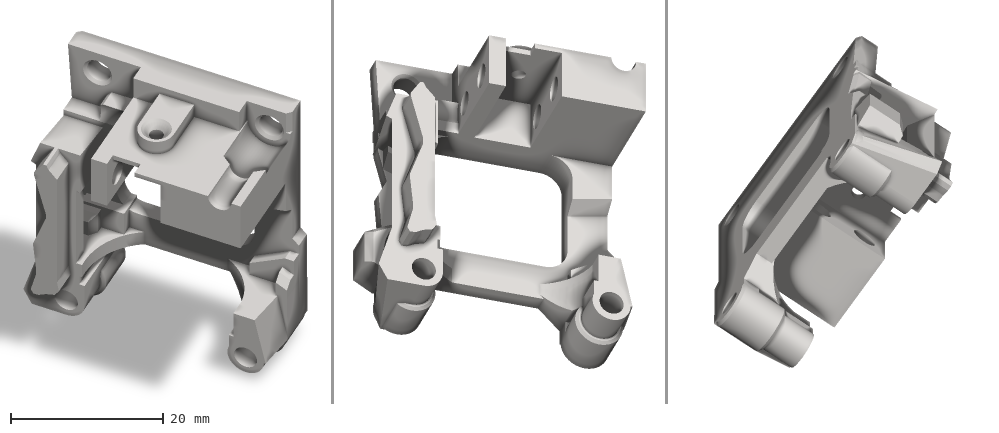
import cadquery as cq


right_side = 34.73
right_flank = 35.8
upper_flank = 35.65
lower_left = 3.55
top_z = 40.55
post_depth = 2.45
head_depth = 3.1
ledge_left, ledge_z = 3.0, 31.2
window_left, window_right = 9.2, 29.2
window_bottom, window_top = 13.43, 29.6
window_radius = 3.1
crossbar_bottom = 8.3
brace_depth = 4.5
brace_bevel = 1.45
edge_bevel = 0.65
bevel_depth = 0.53

hole_z = 37.1
left_hole_x, right_hole_x = 6.75, 31.7
screw_radius = 1.7
countersink_radius = 2.1

lug_back, lug_front = 0.3, 6.15
lug_shoulder = 5.07
corner_depth = 4.0

block_left = 13.02
block_front = 18.5
block_top = 37.12
rib_depth = 5.45
rib_right = 28.4
pocket_left, pocket_right = 15.35, 23.1
pocket_top = 36.4
notch_right = 19.35
notch_length = 1.83
trough_radius = 3.12
trough_end = 10.63
trough_cone_length = 1.1
side_hole_depths = (8.25, 15.25)
side_hole_z = 32.75
side_hole_radius = 1.65
side_hole_end = 28.8

boss_x = 19.35
boss_depth = 11.75
boss_radius = 2.5
boss_top = 39.3
boss_hole_radius = 0.97
boss_sink_radius = 2.03
boss_sink_height = 1.05

stop_left = 8.25
stop_depth = 5.7
stop_top = 34.4
stop_bevel = 0.53
driver_clearance_radius = 3.0

foot_front = 11.7
pivot_z = 3.33
left_pivot_x, right_pivot_x = 6.25, 32.25
pivot_radius = 3.33
pivot_depth = 6.9
pivot_chamfer = 0.4
pivot_hole_radius = 1.65
toe_radius = 2.65
toe_bottom = pivot_z - toe_radius
right_toe_left = 29.8
right_shin_left = 30.45
gusset_top = 10.5
step_z = 6.35
left_elbow_z = 6.9
right_elbow_z = 5.35
gusset_bulge_depth = 5.72
pillar_back = 9.45
pillar_top = 30.05
grip_front = 15.3


def slab(points, back, front):
    """Extrude an XZ outline from depth `back` to depth `front`."""
    return cq.Workplane("XZ", origin=(0, -back, 0)).polyline(points).close().extrude(front - back)


def box(x_range, depth_range, z_range):
    """Block between pairs of X limits, depths toward -Y and Z limits."""
    (x0, x1), (d0, d1), (z0, z1) = x_range, depth_range, z_range
    return cq.Workplane("XY").box(x1 - x0, d1 - d0, z1 - z0, centered=False).translate((x0, -d1, z0))


def rod(x, z, radius, back, front):
    """Cylinder along Y."""
    return cq.Workplane("XZ", origin=(x, -back, z)).circle(radius).extrude(front - back)


def cone(x, z, depths, radii):
    """Cone along Y between two depths."""
    length = depths[1] - depths[0]
    return cq.Workplane(
        cq.Solid.makeCone(*radii, length, cq.Vector(x, -depths[0], z), cq.Vector(0, -1, 0))
    )


def blend(back_outline, front_outline, back, front):
    """Join two XZ outlines with the same number of points by ruled faces."""
    return (
        cq.Workplane("XZ", origin=(0, -back, 0)).polyline(back_outline).close()
        .workplane(offset=front - back).polyline(front_outline).close()
        .loft(ruled=True)
    )


def prism(points, bottom, top):
    """Extrude an XY outline between two heights."""
    return cq.Workplane("XY", origin=(0, 0, bottom)).polyline(points).close().extrude(top - bottom)


def frame_outline(left_bevel):
    """Frame outline with its left side pulled in by the given bevel."""
    return [
        (2.45 + left_bevel, top_z), (right_side, top_z), (right_side, 17.85), (upper_flank, 16.9),
        (right_flank, pivot_z), (28.93, pivot_z), (28.93, right_elbow_z), (25.95, crossbar_bottom),
        (9.75, crossbar_bottom), (8.75, left_elbow_z), (8.75, pivot_z), (lower_left + left_bevel, pivot_z),
        (lower_left + left_bevel, window_bottom), (3.05 + left_bevel, 20.1), (4.18 + left_bevel, 22.3),
        (ledge_left + left_bevel, 26.78), (ledge_left + left_bevel, ledge_z),
    ]


def make_frame():
    """Posts, crossbar and the thicker head with its front rib."""
    back = blend(frame_outline(edge_bevel), frame_outline(0), 0, bevel_depth)
    posts = slab(frame_outline(0), bevel_depth, post_depth)
    head = slab([(2.45, top_z), (right_side, top_z), (right_side, window_top), (ledge_left, window_top),
                 (ledge_left, ledge_z)], bevel_depth, head_depth)
    rib = box((block_left, rib_right), (0, rib_depth), (window_top, top_z))
    head_bevel = prism([(right_side, -head_depth + edge_bevel), (right_side, -head_depth),
                        (right_side - edge_bevel, -head_depth)], block_top, top_z)
    return back.union(posts).union(head).union(rib).cut(head_bevel)


def make_brace(inner, outer):
    """Thickened top of a post between two XZ corners, bevelled back to the post underneath."""
    (inner_x, inner_z), (outer_x, outer_z) = inner, outer
    front_outline = [(inner_x, window_top), (outer_x, window_top), outer, inner]
    back_outline = [(inner_x, window_top), (outer_x, window_top),
                    (outer_x, outer_z - brace_bevel), (inner_x, inner_z - brace_bevel)]
    return blend(back_outline, front_outline, post_depth, brace_depth)


def make_arm():
    """Tapering arm that carries the top of the pillar."""
    back_outline = [(3.65, 30.43), (3.05, 27.7), (window_left, 24.75), (window_left, 30.43)]
    front_outline = [(2.45, pillar_top), (1.05, 26.25), (stop_left, 23.33), (stop_left, pillar_top)]
    return blend(back_outline, front_outline, 0, foot_front)


def make_pillar():
    """Upright with a sloping back and a wavy grip pad on its front."""
    outline = [(2.45, pillar_top), (1.05, 26.25), (1.83, 25.2), (1.83, step_z),
               (7.65, step_z), (7.65, 23.77), (stop_left, 23.77), (stop_left, pillar_top)]
    pillar = slab(outline, pillar_back, foot_front)
    grip_outline = [
        (4.55, pillar_top), (3.25, 28.1), (3.25, 27.6), (4.95, 21.3), (4.95, 20.5), (3.12, 15.38), (3.12, 14.8),
        (3.53, 10.95), (3.53, 9.95), (2.75, 6.98), (3.12, 6.33), (3.9, 6.35), (4.95, 6.95), (6.25, 7.3),
        (6.85, 8.2), (6.57, 9.65), (6.57, 28.07), (5.35, 29.37), (5.05, pillar_top),
    ]
    back_slope = prism([(1.83, -foot_front), (4.85, -pillar_back), (0, -pillar_back), (0, -foot_front)],
                       0, top_z)
    return pillar.cut(back_slope).union(slab(grip_outline, foot_front, grip_front))


def make_gusset(bottom, crossbar_x, bulge_x, toe_x, foot_x):
    """Web with a hollow curved side that joins the crossbar to a foot."""
    return (
        cq.Workplane("XY", origin=(0, 0, bottom))
        .moveTo(crossbar_x, 0).lineTo(crossbar_x, -post_depth)
        .threePointArc((bulge_x, -gusset_bulge_depth), (toe_x, -foot_front))
        .lineTo(foot_x, -foot_front).lineTo(foot_x, 0).close()
        .extrude(gusset_top - bottom)
    )


def make_left_foot():
    toe_right = left_pivot_x + toe_radius
    inner_side = [(left_pivot_x, toe_bottom), (toe_right, pivot_z), (toe_right, left_elbow_z),
                  (8.1, left_elbow_z), (8.1, gusset_top)]
    back_outline = [(3.25, gusset_top), (3.25, 2.65), (4.05, toe_bottom)] + inner_side
    front_outline = [(2.3, gusset_top), (0.0, 2.9), (1.2, toe_bottom)] + inner_side
    foot = blend(back_outline, front_outline, 0, foot_front)
    foot = foot.union(rod(left_pivot_x, pivot_z, toe_radius, 0, foot_front))
    gusset = make_gusset(crossbar_bottom, 13.23, 9.9, 8.5, left_pivot_x)
    return foot.union(gusset)


def make_right_foot():
    outline = [(right_toe_left, pivot_z), (right_toe_left, step_z), (right_shin_left, step_z),
               (right_shin_left, gusset_top), (upper_flank, gusset_top), (right_flank, pivot_z),
               (right_pivot_x + toe_radius, pivot_z)]
    foot = slab(outline, 0, foot_front).union(rod(right_pivot_x, pivot_z, toe_radius, 0, foot_front))
    taper_end = right_flank + toe_radius
    outer_side = [(taper_end, 0), (taper_end, gusset_top)]
    taper = blend([(34.3, gusset_top), (36.5, 0)] + outer_side,
                  [(33.55, gusset_top), (35.9, 0)] + outer_side,
                  lug_front, foot_front)
    gusset = make_gusset(right_elbow_z, 25.3, 29.2, right_shin_left, right_pivot_x)
    below_slope = slab([(24.35, 9.95), (30.43, 3.85), (24.35, 3.85)], 0, foot_front)
    return foot.cut(taper).union(gusset.cut(below_slope))


def make_pivot(x):
    barrel = rod(x, pivot_z, pivot_radius, 0, pivot_depth)
    return barrel.faces("<Y or >Y").chamfer(pivot_chamfer)


def make_left_lug():
    """Lug with a sloping top and a bevelled front, and the raised corner next to it."""
    outline = [(0.25, 11.95), (3.75, 13.75), (7.7, 13.75), (7.7, 5.8), (2.85, 5.8), (0.25, 7.3)]
    tip_outline = [(1.15, 11.5), (3.98, 12.85), (6.8, 12.85), (6.8, 5.8), (2.85, 5.8), (1.15, 6.78)]
    lug = slab(outline, lug_back, lug_shoulder)
    tip = blend(outline, tip_outline, lug_shoulder, lug_front)
    step = box((4.85, 11.05), (0, corner_depth), (crossbar_bottom, 14.25))
    return lug.union(tip).union(step)


def make_right_lug():
    corner = slab([(29.2, 12.58), (34.35, 15.45), (upper_flank, 15.45), (upper_flank, crossbar_bottom),
                   (29.2, crossbar_bottom)], 0, corner_depth)
    underside = [(upper_flank, 9.2), (34.05, 10.3)]
    outline = [(34.05, 13.8), (upper_flank, 13.0)] + underside
    tip_outline = [(34.05, 12.8), (upper_flank, 12.0)] + underside
    lug = slab(outline, 0, lug_shoulder)
    tip = blend(outline, tip_outline, lug_shoulder, lug_front)
    return corner.union(lug).union(tip)


def make_block():
    """Overhanging block with a round-ended boss on top."""
    block = box((block_left, right_side), (0, block_front), (window_top, block_top))
    boss = box((boss_x - boss_radius, boss_x + boss_radius), (0, boss_depth), (block_top, boss_top))
    boss_end = (
        cq.Workplane("XY", origin=(boss_x, -boss_depth, block_top))
        .circle(boss_radius).extrude(boss_top - block_top)
    )
    return block.union(boss).union(boss_end)


def make_block_cuts():
    """Pocket with its notch, stepped screw trough, boss hole and blind side holes."""
    pocket = box((pocket_left, pocket_right), (rib_depth, block_front), (window_top, pocket_top))
    notch = box((pocket_left, notch_right), (block_front - notch_length, block_front),
                (pocket_top, block_top))
    cone_end = trough_end + trough_cone_length
    trough = rod(right_hole_x, hole_z, trough_radius, head_depth, trough_end)
    trough = trough.union(cone(right_hole_x, hole_z, (trough_end, cone_end), (trough_radius, screw_radius)))
    trough = trough.union(rod(right_hole_x, hole_z, screw_radius, cone_end, block_front))
    access = box((rib_right, right_side), (head_depth, rib_depth), (hole_z, top_z))
    boss_hole = cq.Workplane("XY", origin=(boss_x, -boss_depth, window_top)).circle(boss_hole_radius)
    boss_hole = boss_hole.extrude(boss_top - window_top)
    boss_sink = cq.Workplane(
        cq.Solid.makeCone(boss_hole_radius, boss_sink_radius, boss_sink_height,
                          cq.Vector(boss_x, -boss_depth, boss_top - boss_sink_height))
    )
    cuts = pocket.union(notch).union(trough).union(access).union(boss_hole).union(boss_sink)
    for depth in side_hole_depths:
        side_hole = cq.Workplane("YZ", origin=(block_left, -depth, side_hole_z)).circle(side_hole_radius)
        cuts = cuts.union(side_hole.extrude(side_hole_end - block_left))
    return cuts


def make_stop():
    """Stop beside the block and the ledge below it."""
    stop = box((stop_left, block_left), (0, stop_depth), (ledge_z, stop_top))
    stop = stop.edges("|Y and <X and >Z").chamfer(stop_bevel)
    clearance = (
        cq.Workplane("YZ", origin=(stop_left, -side_hole_depths[0], side_hole_z))
        .circle(driver_clearance_radius).extrude(block_left - stop_left)
    )
    ledge = box((ledge_left, block_left), (0, stop_depth), (window_top, ledge_z))
    return stop.cut(clearance).union(ledge)


def make_window():
    window = box((window_left, window_right), (0, foot_front), (window_bottom, window_top))
    return window.edges("|Y").fillet(window_radius)


def make_screw_holes():
    holes = cq.Workplane("XY")
    for x in (left_hole_x, right_hole_x):
        sink_start = head_depth - (countersink_radius - screw_radius)
        holes = holes.union(rod(x, hole_z, screw_radius, 0, rib_depth))
        holes = holes.union(cone(x, hole_z, (sink_start, head_depth), (screw_radius, countersink_radius)))
    for x in (left_pivot_x, right_pivot_x):
        holes = holes.union(rod(x, pivot_z, pivot_hole_radius, 0, foot_front))
    return holes


result = (
    make_frame()
    .union(make_block())
    .union(make_stop())
    .union(make_arm())
    .union(make_brace((12.17, 22.55), (3.65, 25.55)))
    .union(make_brace((25.95, 22.7), (right_side, 24.5)))
    .cut(make_block_cuts())
    .cut(make_window())
    .union(make_pillar())
    .union(make_left_foot())
    .union(make_right_foot())
    .union(make_left_lug())
    .union(make_right_lug())
    .union(make_pivot(left_pivot_x))
    .union(make_pivot(right_pivot_x))
    .cut(make_screw_holes())
)